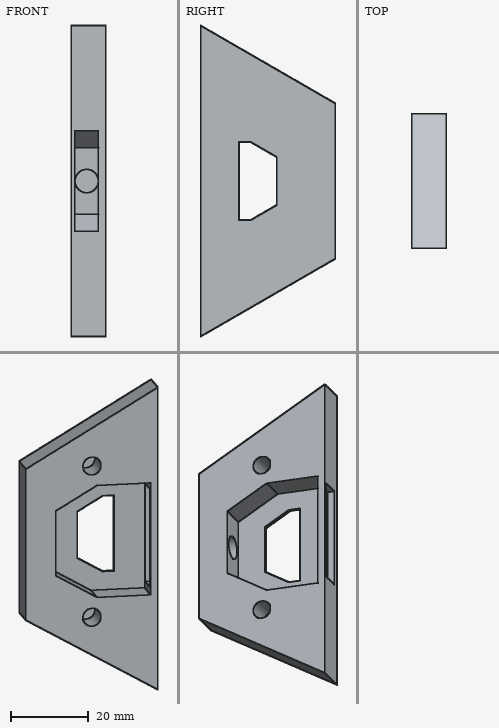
import cadquery as cq
import math

length = 80.0
thickness = 9.0
plate_width = 34.6
side_slope = math.tan(math.radians(30))

pocket_depth = 8.0
pocket_near = 1.9
pocket_far = 26.8
pocket_half_height = 14.8
pocket_far_half_height = 8.6

window_near = 9.9
window_far = 19.5
window_half_height = 10.0
window_far_half_height = 6.2

slot_width = 6.0
slot_height = 25.8

mount_diameter = 4.7
mount_spacing = 40.0
mount_depth = pocket_depth
socket_diameter = slot_width
socket_depth = 3.0


def tapered_prism(near, far, half_height, far_half_height, depth):
    """Prism along X whose straight flanks turn inward at 30 degrees toward +Y."""
    corner = far - (half_height - far_half_height) / side_slope
    outline = [
        (near, -half_height),
        (corner, -half_height),
        (far, -far_half_height),
        (far, far_half_height),
        (corner, half_height),
        (near, half_height),
    ]
    return cq.Workplane("YZ").polyline(outline).close().extrude(depth)


far_half_length = length / 2 - plate_width * side_slope
plate_outline = [
    (0, -length / 2),
    (plate_width, -far_half_length),
    (plate_width, far_half_length),
    (0, length / 2),
]
plate = cq.Workplane("YZ").polyline(plate_outline).close().extrude(thickness)

pocket = tapered_prism(
    pocket_near, pocket_far, pocket_half_height, pocket_far_half_height, pocket_depth
)
window = tapered_prism(
    window_near, window_far, window_half_height, window_far_half_height, thickness
)

slot = cq.Workplane("XY").box(
    slot_width, pocket_near, slot_height, centered=(True, False, True)
).translate((pocket_depth / 2, 0, 0))

mount_holes = (
    cq.Workplane("YZ")
    .pushPoints([(plate_width / 2, side * mount_spacing / 2) for side in (-1, 1)])
    .circle(mount_diameter / 2)
    .extrude(mount_depth)
)

socket = (
    cq.Workplane("XZ", origin=(pocket_depth / 2, pocket_far, 0))
    .circle(socket_diameter / 2)
    .extrude(-socket_depth)
)

result = plate.cut(pocket).cut(window).cut(slot).cut(mount_holes).cut(socket)